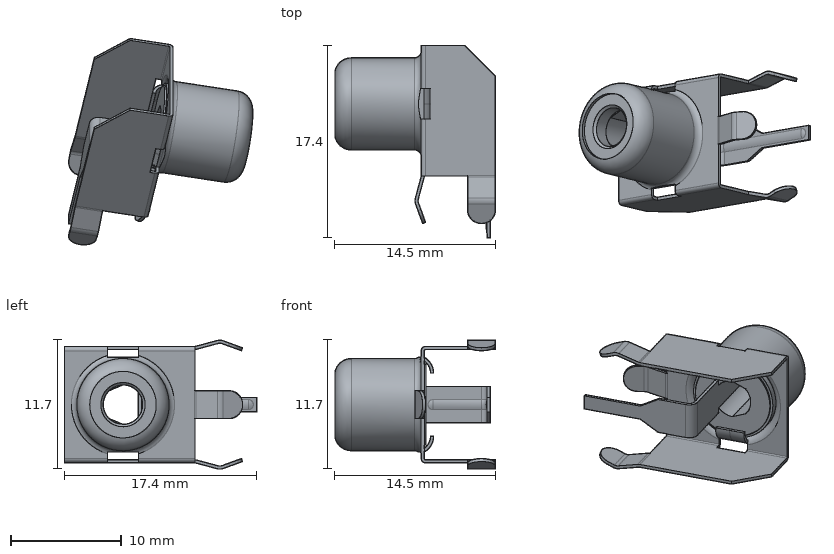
import cadquery as cq
import math


SHEET = 0.3

BARREL_RADIUS = 4.17
MOUTH_RADIUS = 3.0
NOSE_LENGTH = 1.5
FLARE_START = 7.16
FLARE_RADIUS = 4.66
PLATE_FRONT = 7.79
PLATE_BACK = PLATE_FRONT + SHEET

WING_END = 14.5
WING_HALF_HEIGHT = 5.27
BRACKET_TOP = 5.29
BRACKET_BOTTOM = -6.52
WING_BEND_OUTER = 0.4
WING_CORNER = 2.77

SLOT_WIDTH = 2.77
SLOT_FLOOR = 4.3
SLOT_END = 8.6
TAB_CENTRE_X = 7.3
TAB_CENTRE_Z = 2.85
TAB_OUTER = 1.62

LEG_WIDTH = 2.52
LEG_ROOT = 0.07
LEG_SPAN = 11.67
LEG_RISE = LEG_SPAN / 2 - WING_HALF_HEIGHT
LEG_OUT_ANGLE = 15
LEG_BACK_ANGLE = 20
LEG_ROOT_BEND = 0.68
LEG_CREST_BEND = 0.75
LEG_TIP_STRAIGHT = 0.6

BORE_RADIUS = 1.77
BORE_MOUTH_RADIUS = 2.0
BORE_CHAMFER_DEPTH = 0.23
INSULATOR_JOINT = 1.86
INSULATOR_END = 8.25
INSULATOR_END_RADIUS = 3.65
BORE_FLAT_FROM = 90
BORE_FLAT_TO = 135

TERMINAL_TOP = -1.35
TERMINAL_WIDTH = 3.3
PIN_WIDTH = 1.32
PIN_BACK = 14.05
OVERALL_HEIGHT = 17.39
PIN_TIP = BRACKET_TOP - OVERALL_HEIGHT
TAPER_START = -4.87
TAPER_END = -6.6
TERMINAL_BEND_INNER = 0.52
RIB_WIDTH = 0.92
RIB_HEIGHT = 0.09
RIB_START = 8.87
RIB_END = -11.32


def bent_strip(plane, start, heading, steps, width):
    """Bent sheet drawn along its middle line on a plane and extruded to both sides of it.

    A step is (length, 0) for a straight or (radius, angle) for a bend, left turns positive.
    Returns the strip with the point and heading where it ends.
    """
    half = SHEET / 2
    x, y = start

    def beside(px, py, angle, offset):
        return (px - offset * math.sin(angle), py + offset * math.cos(angle))

    angle = math.radians(heading)
    left = [(None, beside(x, y, angle, half))]
    right = [(None, beside(x, y, angle, -half))]
    for size, turn in steps:
        middles = (None, None)
        if turn == 0:
            x += size * math.cos(angle)
            y += size * math.sin(angle)
        else:
            side = math.copysign(size, turn)
            centre = beside(x, y, angle, side)
            middle_angle = angle + math.radians(turn) / 2
            middle = beside(*centre, middle_angle, -side)
            middles = [beside(*middle, middle_angle, offset) for offset in (half, -half)]
            angle += math.radians(turn)
            x, y = beside(*centre, angle, -side)
        left.append((middles[0], beside(x, y, angle, half)))
        right.append((middles[1], beside(x, y, angle, -half)))

    outline = cq.Workplane(plane).moveTo(*left[0][1])
    for middle, end in left[1:]:
        outline = outline.threePointArc(middle, end) if middle else outline.lineTo(*end)
    outline = outline.lineTo(*right[-1][1])
    for (middle, _), (_, end) in zip(right[:0:-1], right[-2::-1]):
        outline = outline.threePointArc(middle, end) if middle else outline.lineTo(*end)
    strip = outline.close().extrude(width / 2, both=True)
    return strip, (x, y), math.degrees(angle)


def cylinder_x(radius, start, end):
    return cq.Workplane("YZ", origin=(start, 0, 0)).circle(radius).extrude(end - start)


def box_between(low, high):
    size = [b - a for a, b in zip(low, high)]
    return cq.Workplane("XY").box(*size, centered=False).translate(low)


def arc_radius(run, rise):
    """Radius of an arc that leaves a straight tangentially and gains a rise over a run."""
    return (run ** 2 + rise ** 2) / (2 * rise)


def barrel_form(inset):
    """Solid inside the barrel surface moved inwards by inset, from the mouth to the plate."""
    nose = arc_radius(NOSE_LENGTH, BARREL_RADIUS - MOUTH_RADIUS)
    nose_centre = BARREL_RADIUS - nose
    mouth_x = NOSE_LENGTH - math.sqrt((nose - inset) ** 2 - (MOUTH_RADIUS - nose_centre) ** 2)
    flare = arc_radius(PLATE_FRONT - FLARE_START, FLARE_RADIUS - BARREL_RADIUS)
    flare_centre = BARREL_RADIUS + flare
    plate_x = PLATE_FRONT + inset
    flare_end = flare_centre - math.sqrt((flare + inset) ** 2 - (plate_x - FLARE_START) ** 2)
    radius = BARREL_RADIUS - inset
    return (
        cq.Workplane("XY")
        .moveTo(FLARE_START, radius)
        .lineTo(NOSE_LENGTH, radius)
        .tangentArcPoint((mouth_x, MOUTH_RADIUS), relative=False)
        .lineTo(mouth_x, 0)
        .lineTo(plate_x, 0)
        .lineTo(plate_x, flare_end)
        .radiusArc((FLARE_START, radius), flare + inset)
        .close()
        .revolve(360, (0, 0, 0), (1, 0, 0))
    )


def make_bracket():
    bend = WING_BEND_OUTER - SHEET / 2
    middle_height = WING_HALF_HEIGHT - SHEET / 2
    wing = WING_END - PLATE_FRONT - WING_BEND_OUTER
    face = 2 * (WING_HALF_HEIGHT - WING_BEND_OUTER)
    steps = [(wing, 0), (bend, 90), (face, 0), (bend, 90), (wing, 0)]
    section = cq.Plane(
        origin=(0, (BRACKET_TOP + BRACKET_BOTTOM) / 2, 0), xDir=(1, 0, 0), normal=(0, -1, 0)
    )
    bracket, _, _ = bent_strip(
        section, (WING_END, middle_height), 180, steps, BRACKET_TOP - BRACKET_BOTTOM
    )
    return bracket.edges("|Z").edges(">X and >Y").chamfer(WING_CORNER)


def make_tab():
    """Upper tab: a ring segment that leaves the flare and curls towards the axis."""
    tab = (
        cq.Workplane("XZ")
        .center(TAB_CENTRE_X, TAB_CENTRE_Z)
        .circle(TAB_OUTER)
        .circle(TAB_OUTER - SHEET)
        .extrude(SLOT_WIDTH / 2, both=True)
    )
    segment_box = box_between(
        (PLATE_FRONT, -SLOT_WIDTH / 2, TAB_CENTRE_Z),
        (TAB_CENTRE_X + TAB_OUTER, SLOT_WIDTH / 2, SLOT_FLOOR),
    )
    return tab.intersect(segment_box)


def make_leg(root, outward):
    """Leg that runs to -Y from a point at mid-sheet, bulges outward and ends in a round tip."""
    along = cq.Vector(0, -1, 0)
    plane = cq.Plane(origin=root, xDir=along, normal=along.cross(cq.Vector(*outward)))
    bend_rise = (LEG_ROOT_BEND + LEG_CREST_BEND) * (1 - math.cos(math.radians(LEG_OUT_ANGLE)))
    ramp = (LEG_RISE - bend_rise) / math.sin(math.radians(LEG_OUT_ANGLE))
    steps = [
        (LEG_ROOT_BEND, LEG_OUT_ANGLE),
        (ramp, 0),
        (LEG_CREST_BEND, -LEG_OUT_ANGLE - LEG_BACK_ANGLE),
        (LEG_TIP_STRAIGHT, 0),
    ]
    leg, tip, heading = bent_strip(plane, (0, 0), 0, steps, LEG_WIDTH)
    tip_angle = math.radians(heading)
    face_normal = plane.yDir * math.cos(tip_angle) - plane.xDir * math.sin(tip_angle)
    tip_plane = cq.Plane(origin=plane.toWorldCoords(tip), xDir=plane.zDir, normal=face_normal)
    half = LEG_WIDTH / 2
    half_disc = cq.Workplane(tip_plane).moveTo(-half, 0).threePointArc((0, half), (half, 0)).close()
    return leg.union(half_disc.extrude(SHEET / 2, both=True))


def make_shell():
    shell = make_bracket().union(barrel_form(0)).cut(barrel_form(SHEET))
    shell = shell.cut(cylinder_x(MOUTH_RADIUS, 0, NOSE_LENGTH))

    slot = box_between(
        (FLARE_START, -SLOT_WIDTH / 2, SLOT_FLOOR), (SLOT_END, SLOT_WIDTH / 2, WING_HALF_HEIGHT)
    )
    tab = make_tab()
    for cutter, curl in ((slot, tab), (slot.mirror("XY"), tab.mirror("XY"))):
        shell = shell.cut(cutter).union(curl)

    root_y = BRACKET_BOTTOM + LEG_ROOT
    wing_leg_x = WING_END - LEG_WIDTH / 2
    wing_z = WING_HALF_HEIGHT - SHEET / 2
    leg_places = [
        ((wing_leg_x, root_y, wing_z), (0, 0, 1)),
        ((wing_leg_x, root_y, -wing_z), (0, 0, -1)),
        ((PLATE_FRONT + SHEET / 2, root_y, 0), (-1, 0, 0)),
    ]
    for root, outward in leg_places:
        across = SHEET if outward[2] == 0 else LEG_WIDTH
        height = LEG_WIDTH if outward[2] == 0 else SHEET
        notch = cq.Workplane("XY").box(across, 2 * LEG_ROOT, height)
        notch = notch.translate((root[0], BRACKET_BOTTOM, root[2]))
        shell = shell.cut(notch).union(make_leg(root, outward))
    return shell


def make_rib():
    """Rounded rib on the inner side of the terminal's bend, with domed ends."""
    blade_face = TERMINAL_TOP - SHEET
    pin_face = PIN_BACK - SHEET
    bend = TERMINAL_BEND_INNER
    half = RIB_WIDTH / 2
    root = SHEET / 2

    blade_plane = cq.Plane(origin=(RIB_START, blade_face, 0), xDir=(0, 0, 1), normal=(-1, 0, 0))
    bend_plane = cq.Plane(
        origin=(pin_face - bend, blade_face, 0), xDir=(0, 0, 1), normal=(-1, 0, 0)
    )
    pin_plane = cq.Plane(origin=(pin_face, RIB_END, 0), xDir=(0, 0, -1), normal=(0, -1, 0))

    def section(plane):
        """Rib section across the Z axis, with its crest towards local -Y."""
        return (
            cq.Workplane(plane)
            .moveTo(-half, root)
            .lineTo(half, root)
            .lineTo(half, 0)
            .threePointArc((0, -RIB_HEIGHT), (-half, 0))
            .close()
        )

    rib = section(blade_plane).extrude(RIB_START - pin_face + bend)
    rib = rib.union(section(bend_plane).revolve(90, (0.17, -bend, 0), (0, -bend, 0)))
    rib = rib.union(section(pin_plane).extrude(RIB_END - blade_face + bend))

    crest_radius = arc_radius(half, RIB_HEIGHT)
    for plane in (blade_plane, pin_plane):
        half_section = (
            cq.Workplane(plane)
            .moveTo(0, root)
            .lineTo(half, root)
            .lineTo(half, 0)
            .radiusArc((0, -RIB_HEIGHT), crest_radius)
            .close()
        )
        rib = rib.union(half_section.revolve(180, (0, 0, 0), (0, -1, 0)))
    return rib


def make_terminal():
    bend = TERMINAL_BEND_INNER + SHEET / 2
    blade = PIN_BACK - SHEET - TERMINAL_BEND_INNER - INSULATOR_JOINT
    pin = TERMINAL_TOP - SHEET - TERMINAL_BEND_INNER - PIN_TIP
    strip, _, _ = bent_strip(
        "XY",
        (INSULATOR_JOINT, TERMINAL_TOP - SHEET / 2),
        0,
        [(blade, 0), (bend, -90), (pin, 0)],
        TERMINAL_WIDTH,
    )
    wide = TERMINAL_WIDTH / 2
    narrow = PIN_WIDTH / 2
    half_outline = [(0, wide), (TAPER_START, wide), (TAPER_END, narrow), (PIN_TIP, narrow)]
    outline = half_outline + [(y, -z) for y, z in reversed(half_outline)]
    taper = cq.Workplane("YZ").polyline(outline).close().extrude(WING_END)
    return strip.intersect(taper).union(make_rib())


def make_front_insulator():
    barrel_fill = barrel_form(SHEET).intersect(
        cylinder_x(BARREL_RADIUS - SHEET, 0, INSULATOR_JOINT)
    )
    face = barrel_fill.val().BoundingBox().xmin
    bore = (
        cq.Workplane("XY")
        .moveTo(face, 0)
        .lineTo(face, BORE_MOUTH_RADIUS)
        .lineTo(face + BORE_CHAMFER_DEPTH, BORE_RADIUS)
        .lineTo(INSULATOR_JOINT, BORE_RADIUS)
        .lineTo(INSULATOR_JOINT, 0)
        .close()
        .revolve(360, (0, 0, 0), (1, 0, 0))
    )
    return barrel_fill.cut(bore)


def make_rear_insulator(terminal):
    """Plug with a bore that has two flats, and a slot that holds the terminal's blade."""
    plug = cylinder_x(BARREL_RADIUS - SHEET, INSULATOR_JOINT, PLATE_BACK)
    plug = plug.union(cylinder_x(INSULATOR_END_RADIUS, PLATE_BACK, INSULATOR_END))

    def on_bore(angle):
        turn = math.radians(angle)
        return (-BORE_RADIUS * math.cos(turn), BORE_RADIUS * math.sin(turn))

    bore = (
        cq.Workplane("YZ", origin=(INSULATOR_JOINT, 0, 0))
        .moveTo(*on_bore(-BORE_FLAT_FROM))
        .threePointArc(on_bore(0), on_bore(BORE_FLAT_FROM))
        .lineTo(*on_bore(BORE_FLAT_TO))
        .threePointArc(on_bore(180), on_bore(-BORE_FLAT_TO))
        .close()
        .extrude(INSULATOR_END - INSULATOR_JOINT)
    )
    return plug.cut(bore).cut(terminal)


shell = make_shell()
terminal = make_terminal()
front_insulator = make_front_insulator()
rear_insulator = make_rear_insulator(terminal)

bodies = (shell, terminal, front_insulator, rear_insulator)
result = cq.Compound.makeCompound([body.solids().val() for body in bodies])